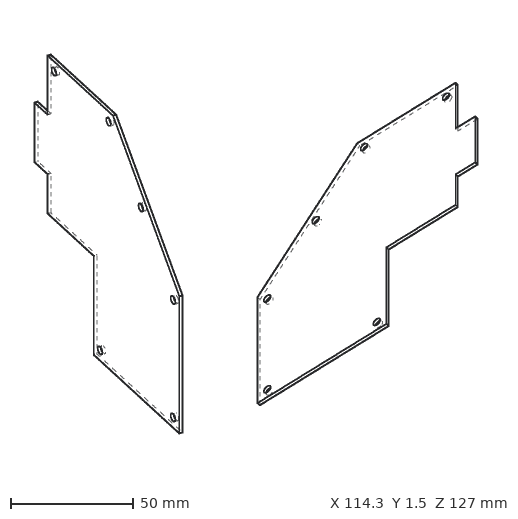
import cadquery as cq

width = 114.3
height = 127.0
thickness = 1.5

tab_length = 10.3
tab_bottom = 68.3
tab_top = 97.8

notch_right = 46.6
notch_top = 48.9

slope_top_x = 62.0
slope_bottom_z = 67.8

hole_diameter = 3.5
edge_inset = 5.1
upper_hole_x = 58.4
slope_hole = (83.8, 94.2)
right_hole_z = 63.1

outline = [
    (notch_right, 0),
    (width, 0),
    (width, slope_bottom_z),
    (slope_top_x, height),
    (tab_length, height),
    (tab_length, tab_top),
    (0, tab_top),
    (0, tab_bottom),
    (tab_length, tab_bottom),
    (tab_length, notch_top),
    (notch_right, notch_top),
]

hole_centers = [
    (tab_length + edge_inset, height - edge_inset),
    (upper_hole_x, height - edge_inset),
    slope_hole,
    (width - edge_inset, right_hole_z),
    (width - edge_inset, edge_inset),
    (notch_right + edge_inset, edge_inset),
]

plate = cq.Workplane("XZ").polyline(outline).close().extrude(thickness)
holes = cq.Workplane("XZ").pushPoints(hole_centers).circle(hole_diameter / 2).extrude(thickness)

result = plate.cut(holes)